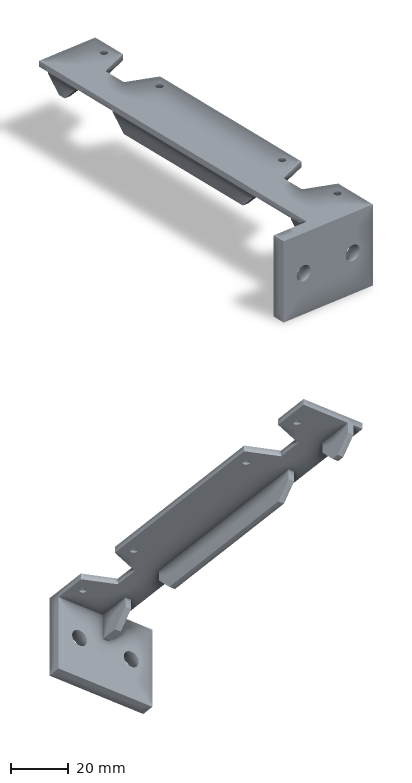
import cadquery as cq

length = 150.0
depth = 40.0
height = 32.4

strip_width = 25.2
strip_thickness = 2.4
plate_thickness = 5.4
plate_start = length - plate_thickness

notch_centers = (25.0, 121.4)
notch_mouth = 20.0
notch_floor = 10.0
notch_depth = 12.2

strip_hole_diameter = 2.8
strip_hole_offset = 15.0
strip_hole_inset = 4.5

rib_thickness = 2.4
rib_inset = 18.9
rib_depth = 10.0
rib_chamfer = 6.0
rib_bottom = -strip_thickness - rib_depth

plate_hole_diameter = 6.3
plate_hole_spacing = 22.0
plate_hole_drop = 16.0


def make_strip():
    """Flat strip with two notches and four small holes."""
    strip = cq.Workplane("XY").box(length, strip_width, strip_thickness, centered=False)
    strip = strip.translate((0, -strip_width, -strip_thickness))
    for center in notch_centers:
        notch = (
            cq.Workplane("XY")
            .polyline([
                (center - notch_mouth / 2, 0),
                (center - notch_floor / 2, -notch_depth),
                (center + notch_floor / 2, -notch_depth),
                (center + notch_mouth / 2, 0),
            ])
            .close()
            .extrude(-strip_thickness)
        )
        holes = (
            cq.Workplane("XY")
            .pushPoints([
                (center - strip_hole_offset, -strip_hole_inset),
                (center + strip_hole_offset, -strip_hole_inset),
            ])
            .circle(strip_hole_diameter / 2)
            .extrude(-strip_thickness)
        )
        strip = strip.cut(notch).cut(holes)
    return strip


def make_plate():
    """Upright end plate with two mounting holes."""
    plate = cq.Workplane("XY").box(plate_thickness, depth, height, centered=False)
    plate = plate.translate((plate_start, -depth, -height))
    holes = (
        cq.Workplane("YZ", origin=(plate_start, 0, 0))
        .pushPoints([
            (-depth / 2 - plate_hole_spacing / 2, -plate_hole_drop),
            (-depth / 2 + plate_hole_spacing / 2, -plate_hole_drop),
        ])
        .circle(plate_hole_diameter / 2)
        .extrude(plate_thickness)
    )
    return plate.cut(holes)


def make_rib(start, end, end_chamfer):
    """One rib segment with its lower corners cut off at 45 degrees."""
    points = [
        (start, -strip_thickness),
        (start, rib_bottom + rib_chamfer),
        (start + rib_chamfer, rib_bottom),
        (end - end_chamfer, rib_bottom),
    ]
    if end_chamfer > 0:
        points.append((end, rib_bottom + end_chamfer))
    points.append((end, -strip_thickness))
    return (
        cq.Workplane("XZ", origin=(0, -rib_inset, 0))
        .polyline(points)
        .close()
        .extrude(rib_thickness)
    )


result = make_strip().union(make_plate())

segment_start = 0
for center in notch_centers:
    result = result.union(make_rib(segment_start, center - notch_mouth / 2, rib_chamfer))
    segment_start = center + notch_mouth / 2
result = result.union(make_rib(segment_start, plate_start, 0))